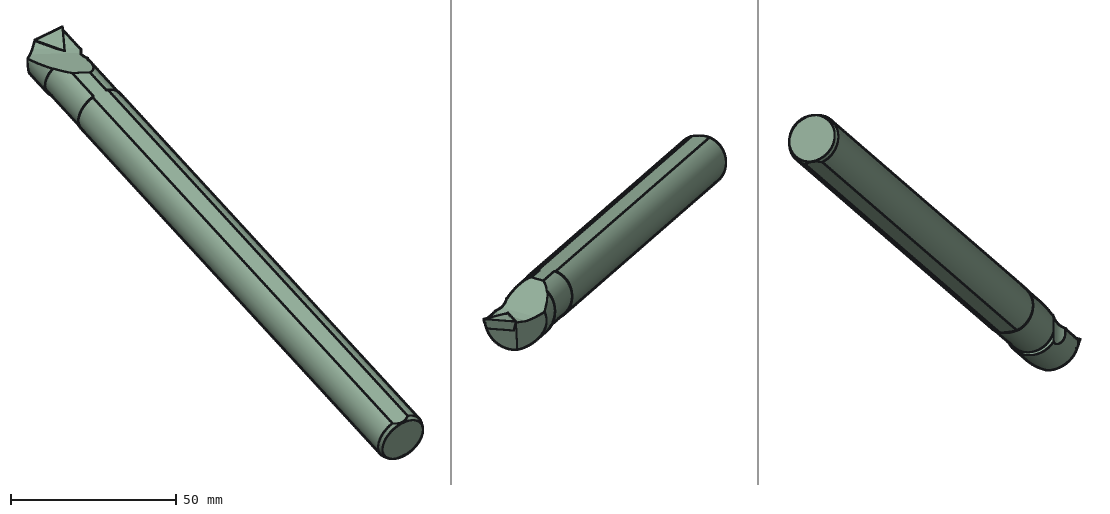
import cadquery as cq
import math

total_length = 199.96
total_width = 17.73
total_height = 16.34
shank_radius = 8.0
flat_height = 7.5
neck_start = 35.0
neck_radius = 7.85
end_chamfer_length = 1.5
end_chamfer_depth = 0.6

tip_y = total_width - shank_radius
head_bottom = flat_height - total_height
head_radius = 8.6
head_center_y = head_radius - shank_radius
head_center_z = head_bottom + head_radius
head_length_top = 17.3
head_length_bottom = 16.3

insert_side = 10.3
insert_height = insert_side * math.sqrt(3) / 2
insert_thickness = 3.0
insert_top = 0.52
relief_angle = 9.0
relief = math.tan(math.radians(relief_angle))
nose_y = tip_y - insert_side

chip_angle = math.radians(59.0)
floor_z = 0.2
ramp_start = 3.9
slope_start = 6.8
slope_start_z = 1.05
slope_end = 21.1

scoop_start = (11.0, 9.0)
scoop_bottom = (15.2, 7.3)
scoop_end = (18.0, 8.0)

margin = 20.0


def make_bar():
    """Shank with flats along the top and bottom, and neck with the top flat only."""
    end_radius = shank_radius - end_chamfer_depth
    bar = (
        cq.Workplane("XZ")
        .moveTo(0, 0)
        .lineTo(0, neck_radius)
        .lineTo(neck_start, neck_radius)
        .lineTo(neck_start, shank_radius)
        .lineTo(total_length - end_chamfer_length, shank_radius)
        .lineTo(total_length, end_radius)
        .lineTo(total_length, 0)
        .close()
        .revolve(360, (0, 0, 0), (1, 0, 0))
    )
    flats_profile = (
        cq.Workplane("XZ")
        .polyline([
            (0, flat_height),
            (total_length, flat_height),
            (total_length, -flat_height),
            (neck_start, -flat_height),
            (neck_start, -shank_radius),
            (0, -shank_radius),
        ])
        .close()
        .extrude(margin, both=True)
    )
    return bar.intersect(flats_profile)


def make_head():
    """Offset cylinder, cut off by the leaning rear face and level with the top flat."""
    cylinder = (
        cq.Workplane("YZ")
        .center(head_center_y, head_center_z)
        .circle(head_radius)
        .extrude(head_length_top)
    )
    side_profile = (
        cq.Workplane("XZ")
        .polyline([
            (0, head_bottom),
            (head_length_bottom, head_bottom),
            (head_length_top, flat_height),
            (0, flat_height),
        ])
        .close()
        .extrude(margin, both=True)
    )
    return cylinder.intersect(side_profile)


def nose_outline(z):
    """Plan of everything behind the two front faces at height z."""
    setback = relief * (insert_top - z)
    return (
        cq.Workplane("XY", origin=(setback, 0, z))
        .polyline([
            (0, margin),
            (0, nose_y),
            (nose_y + margin, -margin),
            (total_length + margin, -margin),
            (total_length + margin, margin),
        ])
        .close()
        .wires()
        .val()
    )


def make_nose():
    """Volume behind the front faces, which lean back towards the bottom."""
    solid = cq.Solid.makeLoft([nose_outline(-margin), nose_outline(margin)], True)
    return cq.Workplane("XY").newObject([solid])


def make_chip_tool():
    """Block lying on the floor, the ramp and the slope."""
    plane = cq.Plane(
        origin=(0, 0, 0),
        xDir=(math.sin(chip_angle), -math.cos(chip_angle), 0),
        normal=(-math.cos(chip_angle), -math.sin(chip_angle), 0),
    )
    return (
        cq.Workplane(plane)
        .polyline([
            (-margin, floor_z),
            (ramp_start, floor_z),
            (slope_start, slope_start_z),
            (slope_end, flat_height),
            (slope_end, margin),
            (-margin, margin),
        ])
        .close()
        .extrude(margin, both=True)
    )


def make_scoop_tool():
    """Vertical tool for the scoop on the +Y side."""
    return (
        cq.Workplane("XY", origin=(0, 0, -margin))
        .moveTo(*scoop_start)
        .threePointArc(scoop_bottom, scoop_end)
        .lineTo(scoop_end[0], margin)
        .lineTo(scoop_start[0], margin)
        .close()
        .extrude(2 * margin)
    )


def insert_triangle():
    """Top outline of the insert, with one side along the cutting edge."""
    return (
        cq.Workplane("XY", origin=(0, 0, insert_top))
        .polyline([(0, tip_y), (0, nose_y), (insert_height, tip_y - insert_side / 2)])
        .close()
    )


def make_insert():
    """Triangular insert, narrowing downwards on all three sides."""
    return insert_triangle().extrude(-insert_thickness, taper=relief_angle)


def make_holder(insert):
    """Bar with its head cut to shape and a seat for the insert."""
    holder = make_bar().union(make_head()).intersect(make_nose())
    holder = holder.cut(make_chip_tool())
    holder = holder.cut(make_scoop_tool())
    above_insert = insert_triangle().extrude(margin)
    return holder.cut(insert).cut(above_insert)


insert = make_insert()
holder = make_holder(insert)

result = cq.Compound.makeCompound([holder.val(), insert.val()])